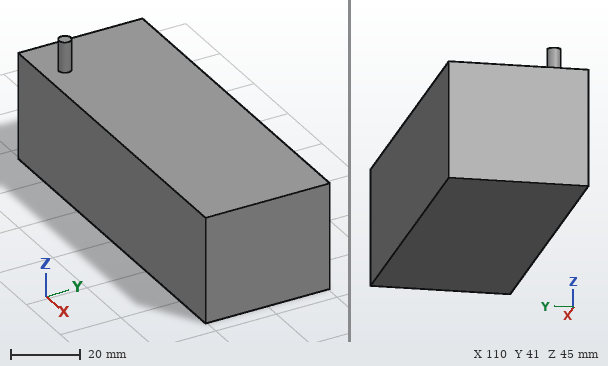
import cadquery as cq

block_length = 110.0
block_width = 41.0
block_height = 35.0

pin_diameter = 4.0
pin_height = 10.0
pin_from_left = 15.0
pin_from_front = 7.0

block = cq.Workplane("XY").box(block_length, block_width, block_height, centered=False)

pin = (
    cq.Workplane("XY")
    .center(pin_from_left, pin_from_front)
    .circle(pin_diameter / 2)
    .extrude(block_height + pin_height)
)

result = block.union(pin)